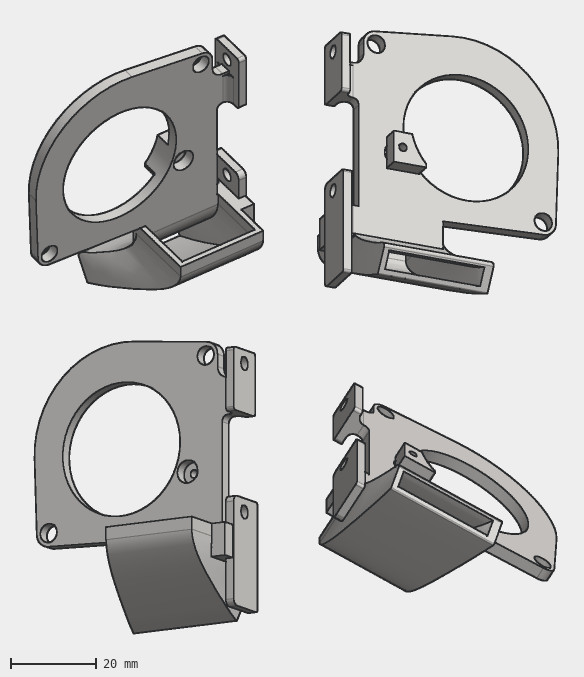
import cadquery as cq
import math


plate_thickness = 3.05
bore_y, bore_z = -33.1, 42.2
bore_diameter = 32.0
rim_y, rim_z = -32.35, 43.3
rim_radius = 24.5
corner_radius = 3.25
screw_hole_diameter = 4.5
top_corner = (-10.1, 62.2)
side_corner = (-52.95, 24.2)
plate_back_y = -5.55
neck_back_y = -4.0
neck_front_y = -27.25
neck_top_z = 19.8

tab_thickness = 2.2
tab_right_x = 7.1
tab_hole_diameter = 3.2
tab_hole_x = 2.25
tab_hole_drop = 3.3
upper_tab_left_x = -2.8
upper_tab_bottom_z, upper_tab_top_z = 47.4, 62.6
upper_tab_radius = 0.8
lower_tab_left_x = -3.8
lower_tab_bottom_z, lower_tab_top_z = 0.6, 27.0
lower_tab_left_radius = 0.7
lower_tab_right_radius = 1.5
web_radius = -tab_thickness - neck_back_y
upper_web_top_z = 56.35
upper_flare_top_z = 55.6
upper_web_bottom_radius = neck_back_y - plate_back_y
lower_web_bottom_z = 11.85

brace_right_x = 10.7
brace_back_y = -0.3

block_height = 4.3
block_back_y, block_front_y = -12.75, -21.1
block_bottom_z, block_top_z = 30.8, 38.7
block_hole_y, block_hole_z = -15.05, 34.85
block_hole_diameter = 2.0
block_counterbore_diameter = 5.5

duct_back_y = -3.85
duct_wall = 1.4
duct_right_x = 19.9
duct_left_x = 1.35
bend_top_z = 16.8
outlet_top = (-11.2, 6.5)
outlet_bottom = (-6.85, -0.1)
outlet_back_y, outlet_front_y = -7.45, -35.6
cavity_outlet_back_y, cavity_outlet_front_y = -8.95, -33.35
outer_upper_bend_z = 9.9
outer_lower_bend_z = 9.75
inner_upper_bend_z = 9.5
inner_lower_bend_z = 11.25
outlet_lip_radius = 0.8
outlet_heel_radius = 0.35
cavity_top_wall = 1.8
bend_stations = 5

diagonal = math.sqrt(0.5)


def box(x0, x1, y0, y1, z0, z1):
    """Axis-aligned box between opposite corner coordinates."""
    size = (abs(x1 - x0), abs(y1 - y0), abs(z1 - z0))
    return cq.Workplane().box(*size).translate(((x0 + x1) / 2, (y0 + y1) / 2, (z0 + z1) / 2))


def x_cylinder(y, z, diameter, x0, x1):
    """Cylinder along X."""
    return cq.Workplane("YZ", origin=(x0, y, z)).circle(diameter / 2).extrude(x1 - x0)


def on_circle(center, radius, angle):
    """Point of a circle in the YZ plane; the angle is in radians from +Y."""
    return (center[0] + radius * math.cos(angle), center[1] + radius * math.sin(angle))


def left_tangent_angle(start, start_radius, end, end_radius):
    """Normal angle of the line touching two circles on their left, going from start to end."""
    direction = math.atan2(end[1] - start[1], end[0] - start[0])
    return direction + math.acos((start_radius - end_radius) / math.dist(start, end))


def main_plate():
    """Plate rounded around the bore, with webs to the tabs and a neck to the duct."""
    rim = (rim_y, rim_z)
    neck_corner = (neck_front_y, neck_top_z)
    bottom_angle = left_tangent_angle(neck_corner, 0, side_corner, corner_radius)
    side_angle = left_tangent_angle(side_corner, corner_radius, rim, rim_radius)
    top_angle = left_tangent_angle(rim, rim_radius, top_corner, corner_radius)
    side_mid_angle = (bottom_angle + side_angle) / 2
    rim_mid_angle = (side_angle + top_angle) / 2
    top_end_y = top_corner[0] + corner_radius
    top_web_radius = neck_back_y - top_end_y
    web_bottom = upper_tab_bottom_z

    outline = (
        cq.Workplane("YZ")
        .moveTo(neck_front_y, lower_web_bottom_z)
        .lineTo(*neck_corner)
        .lineTo(*on_circle(side_corner, corner_radius, bottom_angle))
        .threePointArc(
            on_circle(side_corner, corner_radius, side_mid_angle),
            on_circle(side_corner, corner_radius, side_angle),
        )
        .lineTo(*on_circle(rim, rim_radius, side_angle))
        .threePointArc(
            on_circle(rim, rim_radius, rim_mid_angle),
            on_circle(rim, rim_radius, top_angle),
        )
        .lineTo(*on_circle(top_corner, corner_radius, top_angle))
        .threePointArc(
            on_circle(top_corner, corner_radius, top_angle / 2),
            (top_end_y, top_corner[1]),
        )
        .lineTo(top_end_y, upper_web_top_z + top_web_radius)
        .threePointArc(
            (
                neck_back_y - top_web_radius * diagonal,
                upper_web_top_z + top_web_radius * (1 - diagonal),
            ),
            (neck_back_y, upper_web_top_z),
        )
        .lineTo(-tab_thickness, upper_web_top_z)
        .lineTo(-tab_thickness, web_bottom)
        .lineTo(neck_back_y, web_bottom)
        .threePointArc(
            (
                neck_back_y - upper_web_bottom_radius * diagonal,
                web_bottom - upper_web_bottom_radius * (1 - diagonal),
            ),
            (plate_back_y, web_bottom - upper_web_bottom_radius),
        )
        .lineTo(plate_back_y, neck_top_z)
        .lineTo(-tab_thickness, neck_top_z)
        .lineTo(-tab_thickness, lower_web_bottom_z)
        .close()
    )
    return outline.extrude(plate_thickness)


def tab(left_x, bottom_z, top_z, left_radius, right_radius):
    """Mounting tab with rounded corners and one screw hole near its top."""
    body = box(left_x, tab_right_x, -tab_thickness, 0, bottom_z, top_z)
    body = body.edges("|Y and <X").fillet(left_radius)
    body = body.edges("|Y and >X").fillet(right_radius)
    hole = (
        cq.Workplane("XZ", origin=(tab_hole_x, 0, top_z - tab_hole_drop))
        .circle(tab_hole_diameter / 2)
        .extrude(tab_thickness)
    )
    return body.cut(hole)


def web_flare(face_x, side, bottom_z, top_z):
    """Concave flare in the corner of a web and its tab; side is -1 or +1 along X."""
    tip_x = face_x + side * web_radius
    return (
        cq.Workplane("XY", origin=(0, 0, bottom_z))
        .moveTo(face_x, -tab_thickness)
        .lineTo(tip_x, -tab_thickness)
        .threePointArc(
            (tip_x - side * web_radius * diagonal, neck_back_y + web_radius * diagonal),
            (face_x, neck_back_y),
        )
        .close()
        .extrude(top_z - bottom_z)
    )


def bezier(start, control, end, t):
    """Point of a quadratic curve in the XZ plane."""
    return tuple(
        (1 - t) ** 2 * a + 2 * t * (1 - t) * b + t**2 * c for a, b, c in zip(start, control, end)
    )


def between(start, end, fraction):
    """Value part of the way from start to end."""
    return start + fraction * (end - start)


def bend(upper, lower, inlet_ys, outlet_ys):
    """Loft along an upper and a lower curve; each Y edge drifts linearly with X."""
    sections = []
    for station in range(bend_stations):
        t = station / (bend_stations - 1)
        edges = []
        for curve in (upper, lower):
            x, z = bezier(*curve, t)
            progress = (x - curve[0][0]) / (curve[-1][0] - curve[0][0])
            ys = [between(a, b, progress) for a, b in zip(inlet_ys, outlet_ys)]
            edges.append([cq.Vector(x, y, z) for y in ys])
        upper_edge, lower_edge = edges
        sections.append(cq.Wire.makePolygon(upper_edge + lower_edge[::-1], close=True))
    return cq.Workplane(cq.Solid.makeLoft(sections))


def duct_bodies():
    """Outer duct solid and the air passage to cut from it."""
    inlet_ys = (duct_back_y, neck_front_y)
    cavity_ys = (duct_back_y - duct_wall, neck_front_y + duct_wall)
    cavity_right_x = duct_right_x - duct_wall

    rim = box(0, duct_right_x, *inlet_ys, bend_top_z, neck_top_z)
    outer_bend = bend(
        ((duct_left_x, bend_top_z), (duct_left_x, outer_upper_bend_z), outlet_top),
        ((duct_right_x, bend_top_z), (duct_right_x, outer_lower_bend_z), outlet_bottom),
        inlet_ys,
        (outlet_back_y, outlet_front_y),
    )
    for (x, z), radius in ((outlet_top, outlet_lip_radius), (outlet_bottom, outlet_heel_radius)):
        edge_middle = (x, (outlet_back_y + outlet_front_y) / 2, z)
        outer_bend = outer_bend.edges(cq.NearestToPointSelector(edge_middle)).fillet(radius)

    outlet_length = math.dist(outlet_top, outlet_bottom)
    top_fraction = cavity_top_wall / outlet_length
    bottom_fraction = duct_wall / outlet_length
    cavity_top = [between(a, b, top_fraction) for a, b in zip(outlet_top, outlet_bottom)]
    cavity_bottom = [between(b, a, bottom_fraction) for a, b in zip(outlet_top, outlet_bottom)]
    inlet = box(plate_thickness, cavity_right_x, *cavity_ys, bend_top_z, neck_top_z)
    inner_bend = bend(
        ((plate_thickness, bend_top_z), (plate_thickness, inner_upper_bend_z), cavity_top),
        ((cavity_right_x, bend_top_z), (cavity_right_x, inner_lower_bend_z), cavity_bottom),
        cavity_ys,
        (cavity_outlet_back_y, cavity_outlet_front_y),
    )
    return rim.union(outer_bend), inlet.union(inner_bend)


duct, passage = duct_bodies()
result = main_plate().union(duct)
result = result.union(
    box(-block_height, 0, block_back_y, block_front_y, block_bottom_z, block_top_z)
)
result = result.union(
    tab(upper_tab_left_x, upper_tab_bottom_z, upper_tab_top_z, upper_tab_radius, upper_tab_radius)
)
lower_tab = tab(
    lower_tab_left_x, lower_tab_bottom_z, lower_tab_top_z, lower_tab_left_radius, lower_tab_right_radius
)
brace = box(plate_thickness, brace_right_x, brace_back_y, neck_back_y, lower_web_bottom_z, neck_top_z)
result = result.union(lower_tab).union(brace)
for flare_x, flare_side in ((0, -1), (plate_thickness, 1)):
    result = result.union(web_flare(flare_x, flare_side, upper_tab_bottom_z, upper_flare_top_z))
result = result.union(web_flare(0, -1, lower_web_bottom_z, neck_top_z))

result = result.cut(passage)
result = result.cut(x_cylinder(bore_y, bore_z, bore_diameter, -block_height, plate_thickness))
for corner in (top_corner, side_corner):
    result = result.cut(x_cylinder(*corner, screw_hole_diameter, 0, plate_thickness))
result = result.cut(
    x_cylinder(block_hole_y, block_hole_z, block_hole_diameter, -block_height, plate_thickness)
)
result = result.cut(
    x_cylinder(block_hole_y, block_hole_z, block_counterbore_diameter, 0, plate_thickness)
)